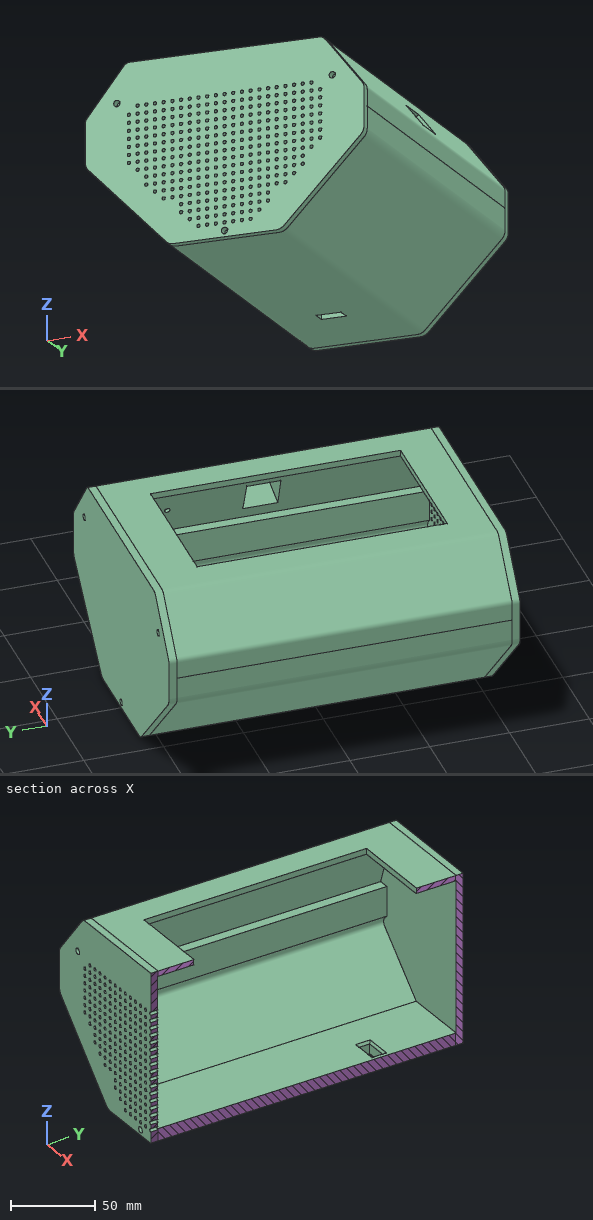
import cadquery as cq
import math

length = 220.0
width = 180.0
height = 117.3
plate_thickness = 5.0
body_length = length - 2 * plate_thickness

top_half_width = 63.5
bottom_half_width = 36.3
upper_corner_z = -33.2
lower_corner_z = -62.5
upper_fillet = 5.0
lower_fillet = 7.5

split_z = -45.5

roof_thickness = 4.0
upper_cavity_half_width = 72.2
upper_cavity_wall_slope = 3.0

opening_width = 87.8
opening_length = 156.6
opening_center_y = -1.3

port_width = 17.2
port_length = 19.0
port_center_x = 80.5
port_center_y = -0.5
port_tilt = 27.0
port_draft = 5.0

pin_hole_diameter = 3.3
pin_hole_y = 59.0
pin_hole_z = -28.2
pin_hole_depth = 2.2

floor_thickness = 8.8
floor_half_width = 32.8
rim_half_width = 65.3
rim_height = 20.5
undercut_depth = 5.3
undercut_fillet = 4.2

cable_hole_width = 18.0
cable_hole_length = 10.1
cable_hole_y = 52.4
cable_bevel_width = 1.0
cable_bevel_depth = 2.0

screw_hole_diameter = 4.0
screw_hole_x = 69.5
upper_screw_z = -24.9
lower_screw_z = -113.3

vent_diameter = 2.0
vent_field_width = 123.5
vent_field_height = 80.3
vent_top_z = -28.0
vent_row_reach = [10, 11, 11, 11, 11, 11, 11, 11, 10, 9, 9, 8, 7, 5, 5, 4, 3]
vent_pitch_x = vent_field_width / (2 * max(vent_row_reach))
vent_pitch_z = vent_field_height / (len(vent_row_reach) - 1)


def prism(points, y_start, y_length):
    """Extrude a polygon of (x, z) points toward +Y from y_start."""
    plane = cq.Workplane("XZ", origin=(0, y_start, 0))
    return plane.polyline(points).close().extrude(-y_length)


def mirrored(right_points):
    """Complete an outline from its +X half, listed from top to bottom."""
    return right_points + [(-x, z) for x, z in reversed(right_points)]


def edges_at_height(solid, z):
    """Edges along Y that lie at height z."""
    margin = 0.2
    return solid.edges("|Y").edges(cq.selectors.BoxSelector(
        (-width, -length, z - margin), (width, length, z + margin)))


def outer_prism(y_start, y_length):
    """Length of the rounded octagonal outline."""
    half_width = width / 2
    solid = prism(mirrored([
        (top_half_width, 0),
        (half_width, upper_corner_z),
        (half_width, lower_corner_z),
        (bottom_half_width, -height),
    ]), y_start, y_length)
    for z in (0, upper_corner_z):
        solid = edges_at_height(solid, z).fillet(upper_fillet)
    for z in (lower_corner_z, -height):
        solid = edges_at_height(solid, z).fillet(lower_fillet)
    return solid


def slab(z_low, z_high):
    """Wide block between two heights, for splitting the outline."""
    return cq.Workplane("XY", origin=(0, 0, z_low)).box(
        width, length, z_high - z_low, centered=(True, True, False))


def upper_cavity_x(z):
    """Distance of the upper cavity wall from the middle plane at height z."""
    return upper_cavity_half_width - (z - split_z) / upper_cavity_wall_slope


def side_port():
    """Flaring cutter through the +X sloping side, tilted up from the horizontal."""
    steepness = -upper_corner_z / (width / 2 - top_half_width)
    center_z = -(port_center_x - top_half_width) * steepness
    tilt = math.radians(port_tilt)
    mouth = cq.Plane(
        origin=(port_center_x, port_center_y, center_z),
        xDir=(0, 1, 0),
        normal=(math.cos(tilt), 0, math.sin(tilt)))
    inner_reach = 22.0
    outer_reach = 6.5
    widening = 2 * inner_reach * math.tan(math.radians(port_draft))
    inner_end = cq.Workplane(mouth).workplane(offset=-inner_reach)
    return inner_end.rect(port_length + widening, port_width + widening).extrude(
        inner_reach + outer_reach, taper=port_draft)


def pin_hole():
    """Cutter for the blind hole, square to the sloping cavity wall."""
    wall = cq.Plane(
        origin=(upper_cavity_x(pin_hole_z), pin_hole_y, pin_hole_z),
        xDir=(0, 1, 0),
        normal=(upper_cavity_wall_slope, 0, 1))
    return cq.Workplane(wall).circle(pin_hole_diameter / 2).extrude(pin_hole_depth)


def make_upper_shell():
    shell = outer_prism(-body_length / 2, body_length).intersect(slab(split_z, 0))
    cavity = prism(mirrored([
        (upper_cavity_x(-roof_thickness), -roof_thickness),
        (upper_cavity_half_width, split_z),
    ]), -body_length / 2, body_length)
    opening = cq.Workplane("XY", origin=(0, opening_center_y, 0)).rect(
        opening_width, opening_length).extrude(-2 * roof_thickness)
    return shell.cut(cavity).cut(opening).cut(side_port()).cut(pin_hole())


def cable_hole():
    """Cutter through the floor, beveled at its upper end."""
    floor = cq.Workplane("XY", origin=(0, cable_hole_y, floor_thickness - height))
    bevel_angle = math.degrees(math.atan(cable_bevel_width / cable_bevel_depth))
    bevel = floor.rect(cable_hole_width, cable_hole_length).extrude(
        -cable_bevel_depth, taper=bevel_angle)
    shaft = floor.rect(
        cable_hole_width - 2 * cable_bevel_width,
        cable_hole_length - 2 * cable_bevel_width,
    ).extrude(-floor_thickness)
    return bevel.union(shaft)


def make_lower_shell():
    shell = outer_prism(-body_length / 2, body_length).intersect(slab(-height, split_z))
    rim_bottom_z = split_z - rim_height
    undercut_z = rim_bottom_z - undercut_depth
    cavity = prism(mirrored([
        (rim_half_width, split_z),
        (rim_half_width, rim_bottom_z),
        (rim_half_width + undercut_depth, undercut_z),
        (floor_half_width, floor_thickness - height),
    ]), -body_length / 2, body_length)
    cavity = edges_at_height(cavity, undercut_z).fillet(undercut_fillet)
    return shell.cut(cavity).cut(cable_hole())


def plate_drill(points, diameter, y_start):
    """Cylinders through an end plate at (x, z) points."""
    plane = cq.Workplane("XZ", origin=(0, y_start, 0))
    return plane.pushPoints(points).circle(diameter / 2).extrude(-plate_thickness)


def make_end_plate(y_start):
    screw_points = [
        (-screw_hole_x, upper_screw_z),
        (screw_hole_x, upper_screw_z),
        (0, lower_screw_z),
    ]
    plate = outer_prism(y_start, plate_thickness)
    return plate.cut(plate_drill(screw_points, screw_hole_diameter, y_start))


def cut_vents(plate, y_start):
    """Cut the grille into an end plate."""
    vent_points = [
        (column * vent_pitch_x, vent_top_z - row * vent_pitch_z)
        for row, reach in enumerate(vent_row_reach)
        for column in range(-reach, reach + 1)
    ]
    return plate.cut(plate_drill(vent_points, vent_diameter, y_start))


upper_shell = make_upper_shell()
lower_shell = make_lower_shell()
front_plate = cut_vents(make_end_plate(-length / 2), -length / 2)
back_plate = make_end_plate(body_length / 2)

result = cq.Compound.makeCompound([
    upper_shell.val(),
    lower_shell.val(),
    front_plate.val(),
    back_plate.val(),
])